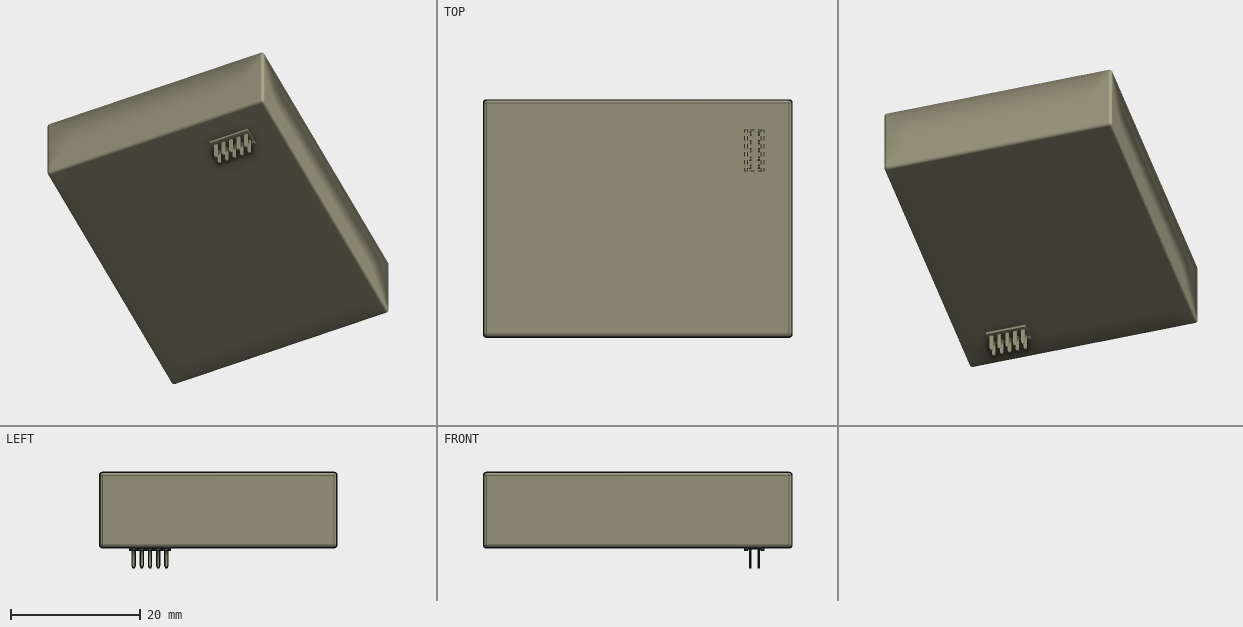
import cadquery as cq

case_length = 47.7
case_width = 36.7
case_height = 11.7
case_radius = 0.5

pins_per_row = 5
row_count = 2
header_x = 18.05
header_y = 10.55
header_width = 3.0
header_length = 6.35
pin_pitch = header_length / pins_per_row
header_height = 0.4
channel_width = 2.1
channel_depth = 0.2

overall_height = 14.8
pin_reach = overall_height - case_height
pin_thickness = 0.25
pin_width = 0.52
tip_width = 0.25
tip_height = 0.405


def make_case():
    box = cq.Workplane("XY").box(case_length, case_width, case_height, centered=(True, True, False))
    return box.edges().fillet(case_radius)


def make_header():
    """Insulator strip with a channel along Y that leaves a foot on each side."""
    ceiling_z = channel_depth - header_height
    outline = [
        (-header_width / 2, 0),
        (-header_width / 2, -header_height),
        (-channel_width / 2, -header_height),
        (-channel_width / 2, ceiling_z),
        (channel_width / 2, ceiling_z),
        (channel_width / 2, -header_height),
        (header_width / 2, -header_height),
        (header_width / 2, 0),
    ]
    strip = cq.Workplane("XZ").polyline(outline).close().extrude(header_length / 2, both=True)
    return strip.translate((header_x, header_y, 0))


def make_pin(x, y):
    """Flat pin hanging from the case, narrowed in Y towards its tip."""
    shoulder_z = tip_height - pin_reach
    outline = [
        (-pin_width / 2, 0),
        (-pin_width / 2, shoulder_z),
        (-tip_width / 2, -pin_reach),
        (tip_width / 2, -pin_reach),
        (pin_width / 2, shoulder_z),
        (pin_width / 2, 0),
    ]
    blade = cq.Workplane("YZ").polyline(outline).close().extrude(pin_thickness / 2, both=True)
    return blade.translate((x, y, 0))


result = make_case().union(make_header())
for row in range(row_count):
    for place in range(pins_per_row):
        pin_x = header_x + (row - (row_count - 1) / 2) * pin_pitch
        pin_y = header_y + (place - (pins_per_row - 1) / 2) * pin_pitch
        result = result.union(make_pin(pin_x, pin_y))